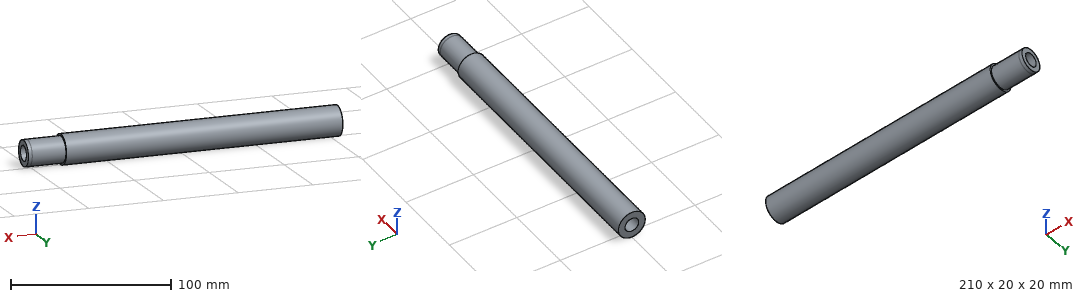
import cadquery as cq

total_length = 210.0
body_diameter = 20.0
bore_diameter = 10.0
spigot_diameter = 17.5
spigot_length = 25.0
tip_taper_length = 2.5
tip_taper_depth = 0.1

body_length = total_length - spigot_length

body = cq.Workplane("YZ").circle(body_diameter / 2).extrude(body_length)
spigot = (
    cq.Workplane("YZ")
    .workplane(offset=body_length)
    .circle(spigot_diameter / 2)
    .extrude(spigot_length)
    .faces(">X")
    .chamfer(tip_taper_length, tip_taper_depth)
)

bore = cq.Workplane("YZ").circle(bore_diameter / 2).extrude(total_length)

result = body.union(spigot).cut(bore)